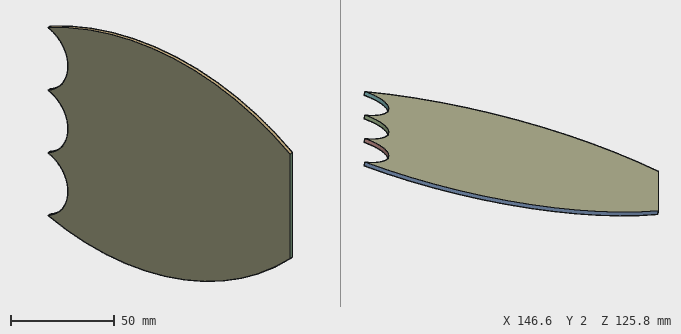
import cadquery as cq

length = 146.6
thickness = 2.0

scallop_count = 3
scallop_pitch = 34.9
scallop_depth = 12.0
top_tip_z = scallop_count * scallop_pitch

right_top_z = 83.6
right_bottom_z = 25.2

crest_x = 55.7
crest_top_z = 114.7
crest_bottom_z = -11.1


def add_scallops(outline):
    """Cut the row of circular bites, running down the left edge from the top tip."""
    for index in range(scallop_count):
        tip_z = top_tip_z - index * scallop_pitch
        outline = outline.threePointArc(
            (scallop_depth, tip_z - scallop_pitch / 2),
            (0, tip_z - scallop_pitch),
        )
    return outline


outline = (
    cq.Workplane("XZ")
    .moveTo(0, 0)
    .threePointArc((crest_x, crest_bottom_z), (length, right_bottom_z))
    .lineTo(length, right_top_z)
    .threePointArc((crest_x, crest_top_z), (0, top_tip_z))
)
result = add_scallops(outline).close().extrude(thickness)